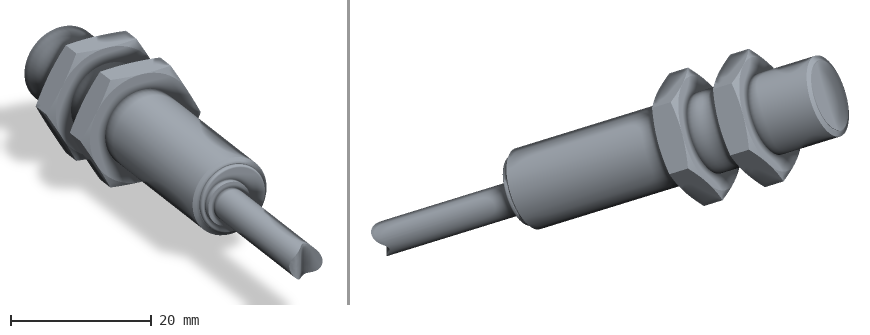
import cadquery as cq
import math

total_length = 74.75
barrel_length = 49.7
barrel_diameter = 12.0
face_diameter = 10.3
bevel_inner_diameter = 10.55
tip_bevel_length = 0.4
face_step = 0.1

nut_across_flats = 17.0
nut_width = 4.0
nut_starts = (10.0, 20.0)
nut_bevel_angle = 20.0

rear_bevel_length = 0.45
groove_diameter = 10.3
groove_width = 0.2
collar_diameter = 10.5
collar_end = 50.9
collar_rounding = 0.3

cable_offset_y = -1.3
bushing_diameter = 6.8
bushing_end = 51.9
cable_diameter = 5.0

slope_setback = 0.8
slope_y = 1.8
valley_setback = 1.95
valley_y = 0.75
crest_setback = 0.2
crest_y = -1.6
break_corner_setback = 0.75


def cylinder(diameter, start, end, y=0.0):
    """Cylinder parallel to X between two X positions."""
    return cq.Workplane("YZ", origin=(start, y, 0)).circle(diameter / 2).extrude(end - start)


def revolved(profile):
    """Solid of revolution about X from a closed (x, radius) outline."""
    return cq.Workplane("XY").polyline(profile).close().revolve(360, (0, 0, 0), (1, 0, 0))


def make_barrel():
    radius = barrel_diameter / 2
    groove_start = barrel_length + rear_bevel_length
    groove_end = groove_start + groove_width
    shell = revolved([
        (0, 0),
        (0, face_diameter / 2),
        (face_step, face_diameter / 2),
        (face_step, bevel_inner_diameter / 2),
        (tip_bevel_length, radius),
        (barrel_length, radius),
        (groove_start, bevel_inner_diameter / 2),
        (groove_start, groove_diameter / 2),
        (groove_end, groove_diameter / 2),
        (groove_end, 0),
    ])
    collar = cylinder(collar_diameter, groove_end, collar_end).faces(">X").edges().fillet(collar_rounding)
    return shell.union(collar)


def make_nut(start):
    """Hexagon whose corners are trimmed by a cone at both faces."""
    flat_radius = nut_across_flats / 2
    corner_radius = flat_radius / math.cos(math.radians(30))
    bevel = (corner_radius - flat_radius) * math.tan(math.radians(nut_bevel_angle))
    end = start + nut_width
    hexagon = cq.Workplane("YZ", origin=(start, 0, 0)).polygon(6, 2 * corner_radius).extrude(nut_width)
    envelope = revolved([
        (start, 0),
        (start, flat_radius),
        (start + bevel, corner_radius),
        (end - bevel, corner_radius),
        (end, flat_radius),
        (end, 0),
    ])
    return hexagon.intersect(envelope)


def make_cable():
    """Cable whose free end is cut along a wavy line, straight through in Z."""
    radius = cable_diameter / 2
    top_y = cable_offset_y + radius
    bottom_y = cable_offset_y - radius
    slope = (total_length - slope_setback, cable_offset_y + slope_y)
    valley = (total_length - valley_setback, cable_offset_y + valley_y)
    crest = (total_length - crest_setback, cable_offset_y + crest_y)
    bottom_corner = (total_length - break_corner_setback, bottom_y)
    blank = (
        cq.Workplane("XY", origin=(0, 0, -radius))
        .moveTo(collar_end, bottom_y)
        .lineTo(collar_end, top_y)
        .lineTo(total_length, top_y)
        .spline([slope, valley, crest, bottom_corner], includeCurrent=True)
        .close()
        .extrude(cable_diameter)
    )
    return cylinder(cable_diameter, collar_end, total_length, cable_offset_y).intersect(blank)


result = make_barrel()
for nut_start in nut_starts:
    result = result.union(make_nut(nut_start))
result = result.union(cylinder(bushing_diameter, collar_end, bushing_end, cable_offset_y))
result = result.union(make_cable())